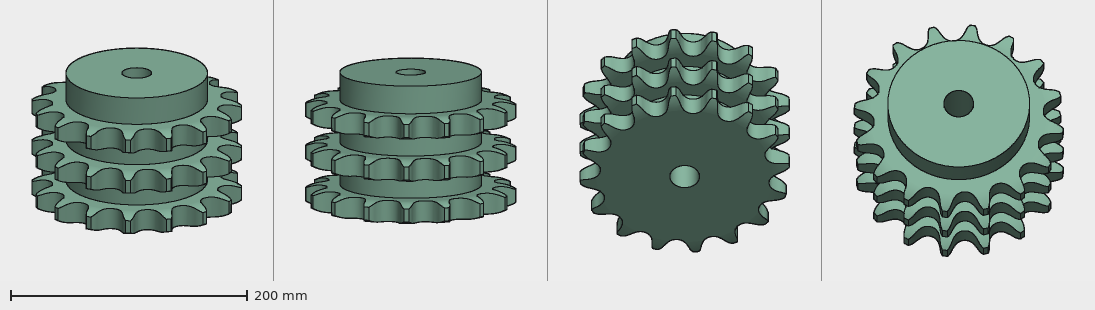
import cadquery as cq
import math


overall_width = 175.3
total_height = 115.0
hub_diameter = 120.0
bore_diameter = 25.0

tooth_count = 16
chain_pitch = 31.7
roller_diameter = 19.1
rim_count = 3
rim_thickness = 18.2
rim_spacing = 36.5

crown_start_radius = 74.5
crown_arc_radius = chain_pitch

crown_margin = 1.8

tooth_angle = 360 / tooth_count
pitch_radius = chain_pitch / 2 / math.sin(math.pi / tooth_count)
seat_radius = 9.6
seat_angle = math.radians(35 + 60 / tooth_count)
working_angle = math.radians(18 - 56 / tooth_count)
topping_angle = math.radians(17 - 64 / tooth_count)
working_center_offset = 0.8 * roller_diameter
working_radius = seat_radius + working_center_offset
topping_center_offset = 1.4 * roller_diameter
flank_length = (topping_center_offset * math.sin(topping_angle)
                - working_center_offset * math.sin(working_angle))
topping_radius = (working_center_offset * math.cos(working_angle)
                  + topping_center_offset * math.cos(topping_angle)
                  - working_radius)


def offset_point(center, distance, angle):
    """Point at a distance from center, along +Y turned counter-clockwise by an angle."""
    return (center[0] - distance * math.sin(angle), center[1] + distance * math.cos(angle))


flank_angle = seat_angle - working_angle
roller_center = (pitch_radius, 0)
seat_bottom = (pitch_radius - seat_radius, 0)
seat_end = offset_point(roller_center, seat_radius, seat_angle)
working_center = offset_point(roller_center, -working_center_offset, seat_angle)
working_mid = offset_point(working_center, working_radius, seat_angle - working_angle / 2)
working_end = offset_point(working_center, working_radius, flank_angle)
flank_end = (working_end[0] + flank_length * math.cos(flank_angle),
             working_end[1] + flank_length * math.sin(flank_angle))
topping_center = offset_point(flank_end, topping_radius, flank_angle)

tip_angle = math.asin((overall_width / 2 - topping_center[0]) / topping_radius)
tip_corner = offset_point(topping_center, -topping_radius, tip_angle)
topping_mid = offset_point(topping_center, -topping_radius, (flank_angle + tip_angle) / 2)
tip_radius = math.hypot(*tip_corner)


def mirrored(point):
    """Same point on the opposite flank of the gap."""
    return (point[0], -point[1])


def turned(point, angle):
    """Point rotated about the sprocket axis by an angle in degrees."""
    turn = math.radians(angle)
    return (point[0] * math.cos(turn) - point[1] * math.sin(turn),
            point[0] * math.sin(turn) + point[1] * math.cos(turn))


def make_toothed_blank():
    """Flat toothed disc standing on Z = 0."""
    outline = cq.Workplane("XY").moveTo(*mirrored(tip_corner))
    for gap in range(tooth_count):
        angle = gap * tooth_angle

        def place(point):
            return turned(point, angle)

        outline = (
            outline
            .threePointArc(place(mirrored(topping_mid)), place(mirrored(flank_end)))
            .lineTo(*place(mirrored(working_end)))
            .threePointArc(place(mirrored(working_mid)), place(mirrored(seat_end)))
            .threePointArc(place(seat_bottom), place(seat_end))
            .threePointArc(place(working_mid), place(working_end))
            .lineTo(*place(flank_end))
            .threePointArc(place(topping_mid), place(tip_corner))
            .threePointArc(turned((tip_radius, 0), angle + tooth_angle / 2),
                           turned(mirrored(tip_corner), angle + tooth_angle))
        )
    return outline.close().extrude(rim_thickness)


def make_crown_envelope():
    """Disc with both faces rounded off towards the rim, used to crown the teeth."""
    envelope_radius = tip_radius + crown_margin

    def crown_drop(radius):
        """Depth of the crown below the flat face at a radius."""
        return crown_arc_radius - math.sqrt(crown_arc_radius**2 - (radius - crown_start_radius)**2)

    mid_radius = (crown_start_radius + envelope_radius) / 2
    edge_drop = crown_drop(envelope_radius)
    mid_drop = crown_drop(mid_radius)
    return (
        cq.Workplane("XZ")
        .lineTo(crown_start_radius, 0)
        .threePointArc((mid_radius, mid_drop), (envelope_radius, edge_drop))
        .lineTo(envelope_radius, rim_thickness - edge_drop)
        .threePointArc((mid_radius, rim_thickness - mid_drop), (crown_start_radius, rim_thickness))
        .lineTo(0, rim_thickness)
        .close()
        .revolve(360, (0, 0, 0), (0, 1, 0))
    )


rim = make_toothed_blank().intersect(make_crown_envelope())

result = cq.Workplane("XY").circle(hub_diameter / 2).extrude(total_height)
for level in range(rim_count):
    result = result.union(rim.translate((0, 0, level * rim_spacing)))

bore = cq.Workplane("XY").circle(bore_diameter / 2).extrude(total_height)
result = result.cut(bore)